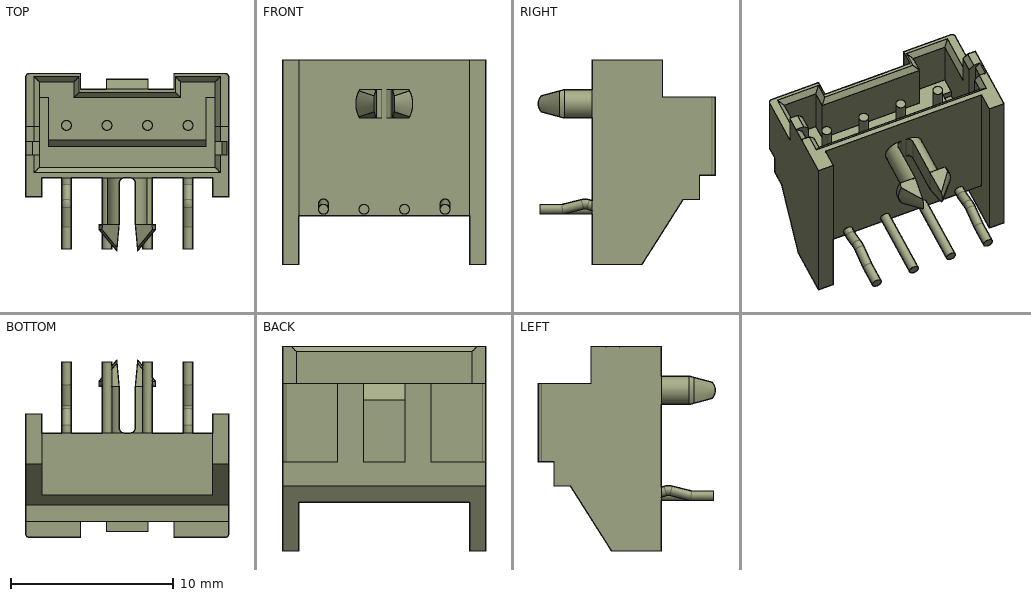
import cadquery as cq
import math


width = 12.5
height = 12.6
ear_thickness = 1.0
face_y = 1.17
body_bottom_z = 3.0
upper_back_y = 4.35
housing_top_z = 10.32
housing_back_y = 7.6
overhang_z = 5.49
step_y = 6.63
step_z = 4.0
step_depth = 1.02
foot_depth = 3.07
corner_radius = 0.21

recess_width = 5.73
ramp_width = 2.56
ramp_depth = 0.62
ramp_height = 1.01

rim_width = 11.45
rim_front_y = 1.5
rim_wall = 0.2
recess_rim = 0.1
lead_in = 0.32
platform_z = 6.55
platform_width = 9.69
platform_front_y = 3.11
platform_bevel = 0.4
trench_depth = 0.45
trench_back_y = 6.11

slot_y = 3.0
slot_width = 0.83
slot_wall = 0.42
slot_lip = 0.1

pin_count = 4
pin_pitch = 2.5
pin_radius = 0.3
pin_row_y = 4.4
pin_top_z = 9.8
tail_z = 3.4
tail_end_y = -3.21
kink_rise = 0.35
kink_start_y = 0.73
kink_peak_y = -0.42
kink_end_y = -1.83
kink_radius = 0.63

latch_z = 9.89
leg_radius = 0.88
leg_centre_x = 0.34
leg_gap = 0.98
gap_fillet = 0.33
head_y = -1.7
head_rim = 0.3
head_radius = 1.75
tip_y = -3.34
tip_radius = 0.63
tip_gap = 1.29
head_half_height = 0.88
tip_half_height = 0.44

overlap = 0.13


def box(x_range, y_range, z_range):
    """Box between pairs of limits along X, Y and Z."""
    sizes = [high - low for low, high in (x_range, y_range, z_range)]
    corner = (x_range[0], y_range[0], z_range[0])
    return cq.Workplane("XY").box(*sizes, centered=False).translate(corner)


def centred(span):
    """Limits of a span centred on zero."""
    return (-span / 2, span / 2)


def mirror_pair(piece):
    """A piece together with its mirror image across the middle plane."""
    return piece.union(piece.mirror("YZ"))


def body():
    """Ears and housing, sharing one side profile."""
    profile = [
        (0, 0),
        (foot_depth, 0),
        (step_y - step_depth, step_z),
        (step_y, step_z),
        (step_y, overhang_z),
        (housing_back_y, overhang_z),
        (housing_back_y, housing_top_z),
        (upper_back_y, housing_top_z),
        (upper_back_y, height),
        (0, height),
    ]
    block = cq.Workplane("YZ").polyline(profile).close().extrude(width / 2, both=True)
    block = block.edges("|Z and >Y").fillet(corner_radius)
    inner_x = centred(width - 2 * ear_thickness)
    block = block.cut(box(inner_x, (0, face_y), (0, height)))
    block = block.cut(box(inner_x, (0, housing_back_y), (0, body_bottom_z)))
    return block.cut(box(centred(recess_width), (step_y, housing_back_y), (overhang_z, housing_top_z)))


def ramp():
    """Locking ramp standing in the keying recess."""
    profile = [
        (step_y - overlap, overhang_z),
        (step_y + ramp_depth, overhang_z),
        (step_y + ramp_depth, housing_top_z - ramp_height),
        (step_y, housing_top_z),
        (step_y - overlap, housing_top_z),
    ]
    return cq.Workplane("YZ").polyline(profile).close().extrude(ramp_width / 2, both=True)


def cavity_outline(inset):
    """Corners of the cavity, following the keying recess, shrunk by an inset."""
    side = rim_width / 2 - inset
    front = rim_front_y + inset
    back = housing_back_y - rim_wall - inset
    key_side = recess_width / 2 + recess_rim + inset
    key_back = step_y - rim_wall - inset
    return [
        (-side, front),
        (side, front),
        (side, back),
        (key_side, back),
        (key_side, key_back),
        (-key_side, key_back),
        (-key_side, back),
        (-side, back),
    ]


def lead_in_cut(top_z):
    """Bevel that widens the cavity towards a top edge."""
    base = cq.Workplane("XY").workplane(offset=top_z - lead_in)
    lower = base.polyline(cavity_outline(lead_in)).close()
    upper = lower.workplane(offset=lead_in).polyline(cavity_outline(0)).close()
    return upper.loft(ruled=True)


def cavity():
    """Open-topped cavity with its bevels and stepped floor."""
    floor_z = platform_z - trench_depth
    well = cq.Workplane("XY").workplane(offset=platform_z).polyline(cavity_outline(lead_in)).close()
    well = well.extrude(height - platform_z)
    side = rim_width / 2 - lead_in
    trench = box((-side, side), (rim_front_y + lead_in, trench_back_y), (floor_z, platform_z))
    platform_profile = [
        (platform_front_y, floor_z),
        (trench_back_y, floor_z),
        (trench_back_y, platform_z),
        (platform_front_y + platform_bevel, platform_z),
    ]
    platform = cq.Workplane("YZ").polyline(platform_profile).close().extrude(platform_width / 2, both=True)
    behind_ears = box(centred(width), (upper_back_y, housing_back_y), (0, height))
    lower_bevel = lead_in_cut(housing_top_z).intersect(behind_ears)
    return well.union(trench.cut(platform)).union(lower_bevel).union(lead_in_cut(height))


def ear_slot(bevel_run):
    """Slot in the inner face of the +X ear, with a 45 degree bevel at its top."""
    inner_x = rim_width / 2 - lead_in - overlap
    slot_x = width / 2 - slot_wall
    profile = [
        (inner_x, platform_z),
        (slot_x, platform_z),
        (slot_x, height - bevel_run),
        (slot_x + bevel_run, height),
        (inner_x, height),
    ]
    slot = cq.Workplane("XZ").polyline(profile).close().extrude(-slot_width)
    return slot.translate((0, slot_y - slot_width / 2, 0))


def contact(x):
    """Upright pin in the cavity."""
    base = cq.Workplane("XY").workplane(offset=platform_z - overlap).center(x, pin_row_y)
    return base.circle(pin_radius).extrude(pin_top_z - platform_z + overlap)


def straight_tail(x):
    """Solder tail running straight out of the front face."""
    start = cq.Workplane("XZ").workplane(offset=-face_y - overlap).center(x, tail_z)
    return start.circle(pin_radius).extrude(face_y + overlap - tail_end_y)


def kinked_tail(x):
    """Solder tail with a hump whose crest is rounded."""
    rise_angle = math.atan2(kink_rise, kink_start_y - kink_peak_y)
    fall_angle = math.atan2(kink_rise, kink_peak_y - kink_end_y)
    tangent = kink_radius * math.tan((rise_angle + fall_angle) / 2)
    peak_z = tail_z + kink_rise
    crest_start = (kink_peak_y + tangent * math.cos(rise_angle), peak_z - tangent * math.sin(rise_angle))
    crest_end = (kink_peak_y - tangent * math.cos(fall_angle), peak_z - tangent * math.sin(fall_angle))
    path = (
        cq.Workplane("YZ", origin=(x, 0, 0))
        .moveTo(face_y + overlap, tail_z)
        .lineTo(kink_start_y, tail_z)
        .lineTo(*crest_start)
        .tangentArcPoint(crest_end, relative=False)
        .lineTo(kink_end_y, tail_z)
        .lineTo(tail_end_y, tail_z)
    )
    start = cq.Workplane("XZ", origin=(x, face_y + overlap, tail_z))
    return start.circle(pin_radius).sweep(path, transition="right")


def latch_leg():
    """Leg at +X, a half cylinder blended into the front face on its flat side."""
    flat_x = leg_gap / 2
    outline = (
        cq.Workplane("XZ", origin=(0, face_y + overlap, latch_z))
        .moveTo(0, -leg_radius)
        .lineTo(leg_centre_x, -leg_radius)
        .threePointArc((leg_centre_x + leg_radius, 0), (leg_centre_x, leg_radius))
        .lineTo(0, leg_radius)
        .close()
    )
    bar = outline.extrude(face_y + overlap - head_y)
    blend_y = face_y - gap_fillet
    diagonal = gap_fillet * math.sqrt(0.5)
    gap = (
        cq.Workplane("XY")
        .moveTo(0, head_y)
        .lineTo(flat_x, head_y)
        .lineTo(flat_x, blend_y)
        .threePointArc(
            (flat_x - gap_fillet + diagonal, blend_y + diagonal),
            (flat_x - gap_fillet, face_y),
        )
        .lineTo(0, face_y)
        .close()
        .extrude(height)
    )
    return bar.cut(gap)


def latch_head():
    """Barbed head of the +X leg: a cone trimmed by a slanted inner side and tapering flats."""
    cone_profile = [
        (0, head_y),
        (head_radius, head_y),
        (head_radius, head_y - head_rim),
        (tip_radius, tip_y),
        (0, tip_y),
    ]
    cone = cq.Workplane("XY").polyline(cone_profile).close().revolve(360, (0, 0, 0), (0, 1, 0))
    sector_profile = [
        (leg_gap / 2, head_y),
        (head_radius, head_y),
        (head_radius, tip_y),
        (tip_gap / 2, tip_y),
    ]
    sector = cq.Workplane("XY").polyline(sector_profile).close().extrude(head_radius, both=True)
    flats_profile = [
        (head_y, -head_half_height),
        (head_y, head_half_height),
        (tip_y, tip_half_height),
        (tip_y, -tip_half_height),
    ]
    flats = cq.Workplane("YZ").polyline(flats_profile).close().extrude(head_radius, both=True)
    return cone.intersect(sector).intersect(flats).translate((0, 0, latch_z))


result = body().union(ramp()).cut(cavity())

result = result.cut(ear_slot(slot_wall - slot_lip)).cut(ear_slot(slot_wall).mirror("YZ"))

for index in range(pin_count):
    pin_x = (index - (pin_count - 1) / 2) * pin_pitch
    is_end_pin = index in (0, pin_count - 1)
    tail = kinked_tail(pin_x) if is_end_pin else straight_tail(pin_x)
    result = result.union(contact(pin_x)).union(tail)

result = result.union(mirror_pair(latch_leg())).union(mirror_pair(latch_head()))